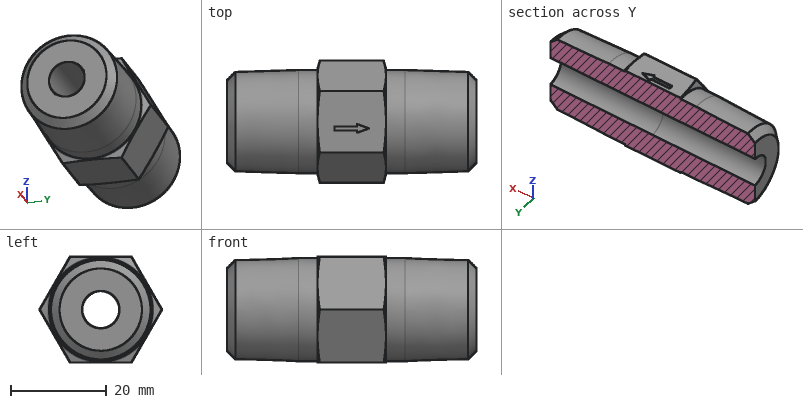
import cadquery as cq
import math

total_length = 52.32
body_diameter = 21.67
bore_diameter = 7.75
end_chamfer = 1.8

thread_length = 15.0
taper_on_diameter = 1 / 16

hex_across_flats = 22.225
hex_length = 14.29
hex_chamfer_angle = 15.0

arrow_length = 7.2
arrow_head_length = 2.45
arrow_head_width = 1.8
arrow_shaft_width = 0.8
arrow_axis_y = -1.42
arrow_depth = 0.1

half_length = total_length / 2
body_radius = body_diameter / 2
hex_across_corners = hex_across_flats / math.cos(math.radians(30))


def revolve_about_x(profile):
    """Turn a closed XY profile that touches the X axis into a solid."""
    return profile.close().revolve(360, (0, 0, 0), (1, 0, 0))


def make_body():
    taper_start = half_length - thread_length
    taper_end = half_length - end_chamfer
    tip_radius = body_radius - (taper_end - taper_start) * taper_on_diameter / 2
    face_radius = tip_radius - end_chamfer
    profile = cq.Workplane("XY").polyline([
        (-half_length, 0),
        (-half_length, face_radius),
        (-taper_end, tip_radius),
        (-taper_start, body_radius),
        (taper_start, body_radius),
        (taper_end, tip_radius),
        (half_length, face_radius),
        (half_length, 0),
    ])
    return revolve_about_x(profile)


def make_hex():
    half_hex = hex_length / 2
    prism = cq.Workplane("YZ").polygon(6, hex_across_corners).extrude(half_hex, both=True)

    face_radius = hex_across_flats / 2
    corner_radius = hex_across_corners / 2
    bevel_depth = (corner_radius - face_radius) * math.tan(math.radians(hex_chamfer_angle))
    envelope_profile = cq.Workplane("XY").polyline([
        (-half_hex, 0),
        (-half_hex, face_radius),
        (bevel_depth - half_hex, corner_radius),
        (half_hex - bevel_depth, corner_radius),
        (half_hex, face_radius),
        (half_hex, 0),
    ])
    return prism.intersect(revolve_about_x(envelope_profile))


def make_bore():
    return cq.Workplane("YZ").circle(bore_diameter / 2).extrude(half_length, both=True)


def make_arrow():
    tip_x = arrow_length / 2
    head_x = tip_x - arrow_head_length
    half_shaft = arrow_shaft_width / 2
    half_head = arrow_head_width / 2
    return (
        cq.Workplane("XY", origin=(0, arrow_axis_y, hex_across_flats / 2))
        .polyline([
            (-tip_x, -half_shaft),
            (head_x, -half_shaft),
            (head_x, -half_head),
            (tip_x, 0),
            (head_x, half_head),
            (head_x, half_shaft),
            (-tip_x, half_shaft),
        ])
        .close()
        .extrude(-arrow_depth)
    )


result = make_body().union(make_hex()).cut(make_bore()).cut(make_arrow())